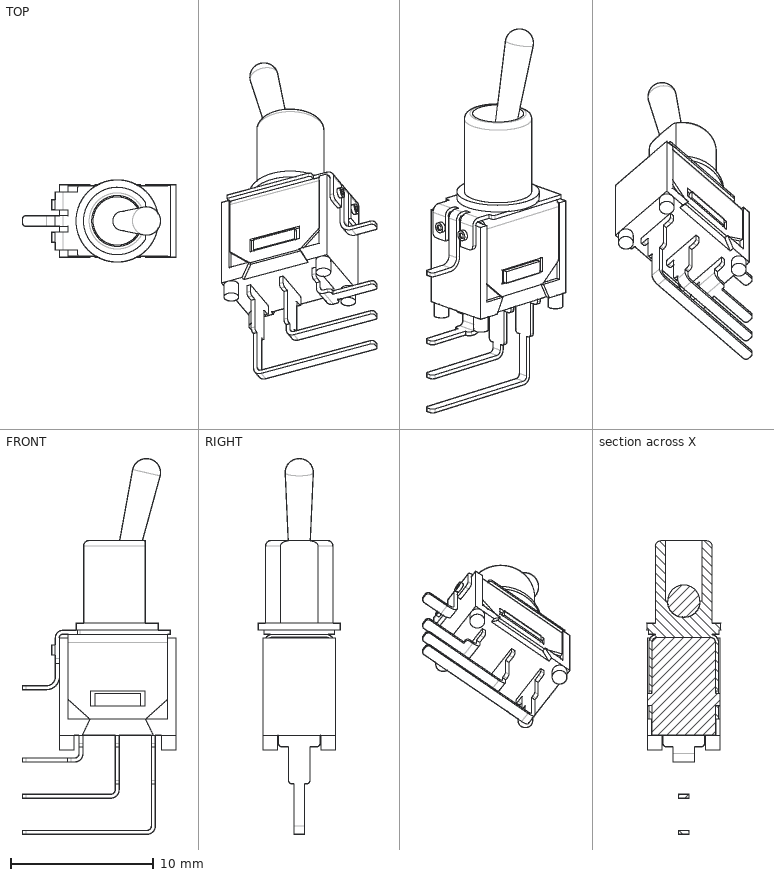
import cadquery as cq
import math


pitch = 2.54
metal = 0.29
axis_x = -0.04

case_length = 8.2
case_width = 5.1
case_height = 6.85

cover_length = 7.0
cover_metal = 0.2
cover_inset = 0.1
cover_bottom = 1.14
cover_top = 7.1
cover_bend = 0.56
cover_corner_width = 1.55
cover_corner_height = 1.4

window_length = 3.84
window_bottom = 2.08
window_top = 3.12
latch_length = 3.2
latch_top = 2.95

relief_top_length = 3.9
relief_bottom_length = 5.0

foot_diameter = 1.04
foot_height = 1.03

plate_end = 3.7
plate_width = 4.98
neck_end = -2.82
neck_width = 4.1
plate_corner = 0.18
bracket_bend = 0.53
tab_bottom = 5.04
tab_corner = 0.35
tab_slot_outer = 1.54
tab_slot_end = -3.48
pip_radius = 0.36
pip_height = 0.25
pip_y = 1.14
pip_z = 6.0
pip_hole_radius = 0.2
pip_hole_depth = 0.1

flange_diameter = 5.79
flange_height = 0.5
bushing_diameter = 4.74
bushing_top = 13.7
bushing_round = 0.4
bushing_flat = 1.97
bore_radius = 1.79

total_height = 26.4
lowest_point = -6.95
lever_tip_radius = 1.0
lever_root_radius = 0.6
ball_radius = 1.7
pivot_z = 9.45
tip_offset = 2.05

tip_end = -6.7
leg_width = 0.76
blade_width = 1.52
root_width = 2.94
root_depth = 0.8
shoulder_z = -3.4
shoulder_x = -3.54
terminal_bend = 0.6
ground_bend = 0.9
corner_round = 0.25

case_end = case_length / 2
case_side = case_width / 2
cover_side = case_side - cover_inset
core_side = cover_side - cover_metal
core_top = cover_top - cover_metal
plate_top = cover_top + metal
bracket_face = -case_end - metal
tip_center_z = lowest_point + total_height - lever_tip_radius
ground_bottom = lowest_point + 4 * pitch


def block(x_min, x_max, y_min, y_max, z_min, z_max):
    """Box between the given limits."""
    size = (x_max - x_min, y_max - y_min, z_max - z_min)
    return cq.Workplane("XY").box(*size, centered=False).translate((x_min, y_min, z_min))


def centred_block(length, width, z_min, z_max):
    """Box centred on the Z axis."""
    return block(-length / 2, length / 2, -width / 2, width / 2, z_min, z_max)


def make_core():
    """Middle of the case that the cover is folded over."""
    return (
        centred_block(cover_length, 2 * core_side, cover_bottom, core_top)
        .edges("|X and >Z")
        .fillet(cover_bend - cover_metal)
    )


def make_case():
    """Plastic case with feet, a relief for the cover on both sides and two latches."""
    case = centred_block(case_length, case_width, 0, case_height)
    relief = (
        cq.Workplane("XZ")
        .moveTo(-cover_length / 2, case_height)
        .lineTo(-cover_length / 2, cover_bottom)
        .lineTo(-relief_top_length / 2, cover_bottom)
        .lineTo(-relief_bottom_length / 2, 0)
        .lineTo(relief_bottom_length / 2, 0)
        .lineTo(relief_top_length / 2, cover_bottom)
        .lineTo(cover_length / 2, cover_bottom)
        .lineTo(cover_length / 2, case_height)
        .close()
        .extrude(case_side, both=True)
    )
    case = case.cut(relief.cut(centred_block(case_length, 2 * core_side, 0, case_height)))

    over_core = centred_block(cover_length, case_width, cover_bottom, cover_top)
    case = case.cut(over_core).union(make_core())
    case = case.union(centred_block(latch_length, case_width, window_bottom, latch_top))

    foot_x = case_end - foot_diameter / 2
    foot_y = case_side - foot_diameter / 2
    feet = (
        cq.Workplane("XY")
        .rect(2 * foot_x, 2 * foot_y, forConstruction=True)
        .vertices()
        .circle(foot_diameter / 2)
        .extrude(-foot_height)
    )
    return case.union(feet)


def make_cover():
    """U-shaped cover with cut-off bottom corners and a snap window in each side."""
    cover = (
        centred_block(cover_length, 2 * cover_side, cover_bottom, cover_top)
        .edges("|X and >Z")
        .fillet(cover_bend)
    )
    cover = cover.cut(make_core())
    for end in (-1, 1):
        edge = end * cover_length / 2
        corner = (
            cq.Workplane("XZ")
            .polyline([
                (edge, cover_bottom),
                (edge - end * cover_corner_width, cover_bottom),
                (edge, cover_bottom + cover_corner_height),
            ])
            .close()
            .extrude(case_side, both=True)
        )
        cover = cover.cut(corner)
    return cover.cut(centred_block(window_length, case_width, window_bottom, window_top))


def make_elbow(x_outer, x_far, z_top, z_bottom, bend, width):
    """L-shaped strip: down along its outer side at x_outer, then along -X to x_far."""
    inner_bend = bend - metal
    return (
        cq.Workplane("XZ")
        .moveTo(x_outer, z_top)
        .lineTo(x_outer, z_bottom + bend)
        .radiusArc((x_outer - bend, z_bottom), bend)
        .lineTo(x_far, z_bottom)
        .lineTo(x_far, z_bottom + metal)
        .lineTo(x_outer - bend, z_bottom + metal)
        .radiusArc((x_outer - metal, z_bottom + bend), -inner_bend)
        .lineTo(x_outer - metal, z_top)
        .close()
        .extrude(width / 2, both=True)
    )


def make_bracket():
    """Plate on top of the cover with two tabs and a ground terminal on the -X side."""
    plate = block(neck_end, plate_end, -plate_width / 2, plate_width / 2, cover_top, plate_top)
    plate = plate.edges("|Z and <X").fillet(plate_corner)

    inner_bend = bracket_bend - metal
    fold = (
        cq.Workplane("XZ")
        .moveTo(neck_end + plate_corner, plate_top)
        .lineTo(bracket_face + bracket_bend, plate_top)
        .radiusArc((bracket_face, plate_top - bracket_bend), -bracket_bend)
        .lineTo(bracket_face, tab_bottom)
        .lineTo(-case_end, tab_bottom)
        .lineTo(-case_end, plate_top - bracket_bend)
        .radiusArc((bracket_face + bracket_bend, cover_top), inner_bend)
        .lineTo(neck_end + plate_corner, cover_top)
        .close()
        .extrude(neck_width / 2, both=True)
        .edges("|X and <Z")
        .fillet(tab_corner)
    )
    slots = block(
        bracket_face, tab_slot_end, -tab_slot_outer / 2, tab_slot_outer / 2, tab_bottom, plate_top
    )
    tongue = block(
        bracket_face, tab_slot_end, -leg_width / 2, leg_width / 2, tab_bottom, plate_top
    )
    bracket = plate.union(fold.cut(slots.cut(tongue)))

    leg = make_elbow(
        -case_end, tip_end, tab_bottom + tab_corner, ground_bottom, ground_bend, leg_width
    )
    bracket = bracket.union(leg.edges("|Z and <X").fillet(corner_round))

    pips = (
        cq.Workplane("YZ", origin=(bracket_face, 0, 0))
        .pushPoints([(-pip_y, pip_z), (pip_y, pip_z)])
        .circle(pip_radius)
        .extrude(-pip_height)
    )
    dimples = (
        cq.Workplane("YZ", origin=(bracket_face - pip_height, 0, 0))
        .pushPoints([(-pip_y, pip_z), (pip_y, pip_z)])
        .circle(pip_hole_radius)
        .extrude(pip_hole_depth)
    )
    return bracket.union(pips).cut(dimples)


def make_bushing():
    """Flanged bushing with a flat on its +X side, before it is bored."""
    barrel = (
        cq.Workplane("XY", origin=(0, 0, plate_top))
        .circle(bushing_diameter / 2)
        .extrude(bushing_top - plate_top)
        .faces(">Z")
        .edges()
        .fillet(bushing_round)
    )
    barrel = barrel.cut(
        block(
            bushing_flat, bushing_diameter, -bushing_diameter, bushing_diameter, plate_top, bushing_top
        )
    )
    flange = cq.Workplane("XY", origin=(0, 0, plate_top)).circle(flange_diameter / 2)
    return barrel.union(flange.extrude(flange_height)).translate((axis_x, 0, 0))


def make_frame():
    """Cover, bracket and bushing as one metal body, bored down to a seat for the ball."""
    bore = (
        cq.Workplane("XY", origin=(axis_x, 0, pivot_z))
        .circle(bore_radius)
        .extrude(bushing_top - pivot_z)
    )
    seat = cq.Workplane("XY").sphere(ball_radius).translate((axis_x, 0, pivot_z))
    return make_cover().union(make_bracket()).union(make_bushing()).cut(bore).cut(seat)


def make_toggle():
    """Ball with a tapered lever and a round tip, tilted towards +X."""
    rise = tip_center_z - pivot_z
    tilt = math.degrees(math.atan2(tip_offset, rise))
    length = math.hypot(tip_offset, rise)
    lever = (
        cq.Workplane("XZ")
        .lineTo(lever_root_radius, 0)
        .lineTo(lever_tip_radius, length)
        .radiusArc((0, length + lever_tip_radius), -lever_tip_radius)
        .close()
        .revolve(360, (0, 0, 0), (0, 1, 0))
    )
    ball = cq.Workplane("XY").sphere(ball_radius)
    return lever.union(ball).rotate((0, 0, 0), (0, 1, 0), tilt).translate((axis_x, 0, pivot_z))


def make_terminal(x, bottom):
    """Bent terminal below the case: wide root, blade and narrow leg."""
    x_outer = x + metal / 2
    x_inner = x - metal / 2
    terminal = make_elbow(x_outer, tip_end, 0, bottom, terminal_bend, leg_width)
    terminal = terminal.edges("|Z and <X").fillet(corner_round)

    root = block(x_inner, x_outer, -root_width / 2, root_width / 2, -root_depth, 0)
    root = root.edges("|X and <Z").fillet(corner_round)

    if bottom + terminal_bend < shoulder_z:
        blade = block(x_inner, x_outer, -blade_width / 2, blade_width / 2, shoulder_z, 0)
        blade = blade.edges("|X and <Z").fillet(corner_round)
    else:
        blade = make_elbow(x_outer, shoulder_x, 0, bottom, terminal_bend, blade_width)
        blade = blade.edges("|Z and <X").fillet(corner_round)
    return terminal.union(root).union(blade)


case = make_case()
frame = make_frame()
toggle = make_toggle()
terminals = [
    make_terminal(axis_x + (step - 1) * pitch, lowest_point + (2 - step) * pitch) for step in range(3)
]

result = cq.Compound.makeCompound(
    [case.val(), frame.val(), toggle.val(), *[terminal.val() for terminal in terminals]]
)